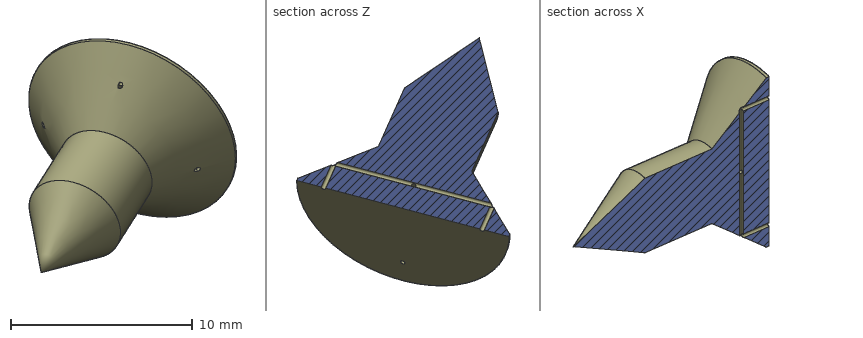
import cadquery as cq
import math

total_length = 13.0
head_radius = 6.2
shank_radius = 2.74
shank_length = 4.45
tip_full_angle = 60.0
rim_width = 0.2

hole_diameter = 0.25
hole_circle_radius = 4.63
axial_hole_count = 4

tip_length = shank_radius / math.tan(math.radians(tip_full_angle / 2))
tip_y = -total_length / 2
shank_front_y = tip_y + tip_length
cone_start_y = shank_front_y + shank_length
head_end_y = total_length / 2
rim_y = head_end_y - rim_width

cone_fraction = (hole_circle_radius - shank_radius) / (head_radius - shank_radius)
cross_hole_y = cone_start_y + cone_fraction * (rim_y - cone_start_y)


def make_body():
    """Pointed shank with a conical head, revolved about Y."""
    return (
        cq.Workplane("XY")
        .moveTo(0, tip_y)
        .lineTo(shank_radius, shank_front_y)
        .lineTo(shank_radius, cone_start_y)
        .lineTo(head_radius, rim_y)
        .lineTo(head_radius, head_end_y)
        .lineTo(0, head_end_y)
        .close()
        .revolve(360, (0, 0, 0), (0, 1, 0))
    )


def make_axial_holes():
    """Holes parallel to Y, evenly spaced on a circle, over the full length."""
    return (
        cq.Workplane("XZ")
        .polarArray(hole_circle_radius, 0, 360, axial_hole_count)
        .circle(hole_diameter / 2)
        .extrude(total_length / 2, both=True)
    )


def make_cross_hole(plane, center):
    """Hole right across the head, square to the named plane."""
    return (
        cq.Workplane(plane)
        .center(*center)
        .circle(hole_diameter / 2)
        .extrude(head_radius, both=True)
    )


result = (
    make_body()
    .cut(make_axial_holes())
    .cut(make_cross_hole("XY", (0, cross_hole_y)))
    .cut(make_cross_hole("YZ", (cross_hole_y, 0)))
)